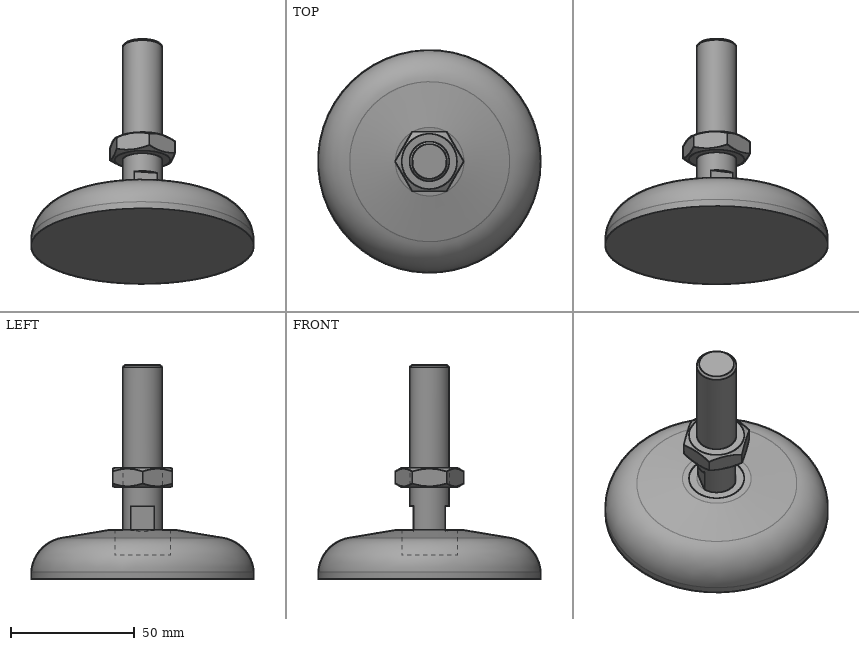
import cadquery as cq
import math

base_radius = 45.0
rim_height = 3.0
dome_top_radius = 32.3
dome_top_height = 16.7
base_top_radius = 13.9
base_top_height = 19.8

socket_radius = 11.2
socket_depth = 9.9

stud_radius = 8.0
stud_top = 86.5
stud_chamfer = 1.0
flats_width = 13.0
flats_top = 29.4
flats_dish_depth = 0.495

nut_across_flats = 24.0
nut_bottom = 37.0
nut_height = 8.0
nut_face_radius = 11.2
nut_chamfer_angle = 30.0

socket_floor = base_top_height - socket_depth


def cylinder(radius, bottom, top):
    """Upright cylinder on the Z axis."""
    return cq.Workplane("XY").workplane(offset=bottom).circle(radius).extrude(top - bottom)


def make_base():
    """Turned foot with a blind socket in its top face."""
    profile = (
        cq.Workplane("XZ")
        .lineTo(0, base_top_height)
        .lineTo(base_top_radius, base_top_height)
        .lineTo(dome_top_radius, dome_top_height)
        .tangentArcPoint((base_radius, rim_height), relative=False)
        .lineTo(base_radius, 0)
        .close()
    )
    body = profile.revolve(360, (0, 0, 0), (0, 1, 0))
    return body.cut(cylinder(socket_radius, socket_floor, base_top_height))


def make_flat_cutter():
    """Waste beside the two wrench flats, with a floor that falls conically towards the axis."""
    flat_distance = flats_width / 2
    apex_depth = flats_dish_depth * stud_radius / (stud_radius - flat_distance)
    apex_height = base_top_height - apex_depth
    waste = (
        cq.Workplane("XZ")
        .moveTo(0, apex_height)
        .lineTo(stud_radius, base_top_height)
        .lineTo(stud_radius, flats_top)
        .lineTo(0, flats_top)
        .close()
        .revolve(360, (0, 0, 0), (0, 1, 0))
    )
    kept_core = (
        cq.Workplane("XY")
        .workplane(offset=apex_height)
        .rect(flats_width, 2 * stud_radius)
        .extrude(flats_top - apex_height)
    )
    return waste.cut(kept_core)


def make_stud():
    """Round stud with a wide foot, a chamfered tip and two wrench flats facing +X and -X."""
    shank = cylinder(stud_radius, base_top_height, stud_top).faces(">Z").chamfer(stud_chamfer)
    foot = cylinder(socket_radius, socket_floor, base_top_height)
    return shank.union(foot).cut(make_flat_cutter())


def make_nut():
    """Hexagonal nut with corners on the X axis, chamfered on both faces."""
    corner_radius = nut_across_flats / math.sqrt(3)
    chamfer_drop = (corner_radius - nut_face_radius) * math.tan(math.radians(nut_chamfer_angle))
    nut_top = nut_bottom + nut_height
    hexagon = (
        cq.Workplane("XY").workplane(offset=nut_bottom).polygon(6, 2 * corner_radius).extrude(nut_height)
    )
    chamfer_envelope = (
        cq.Workplane("XZ")
        .moveTo(0, nut_bottom)
        .lineTo(nut_face_radius, nut_bottom)
        .lineTo(corner_radius, nut_bottom + chamfer_drop)
        .lineTo(corner_radius, nut_top - chamfer_drop)
        .lineTo(nut_face_radius, nut_top)
        .lineTo(0, nut_top)
        .close()
        .revolve(360, (0, 0, 0), (0, 1, 0))
    )
    return hexagon.intersect(chamfer_envelope).cut(cylinder(stud_radius, nut_bottom, nut_top))


base = make_base()
stud = make_stud()
nut = make_nut()

result = cq.Compound.makeCompound([base.val(), stud.val(), nut.val()])